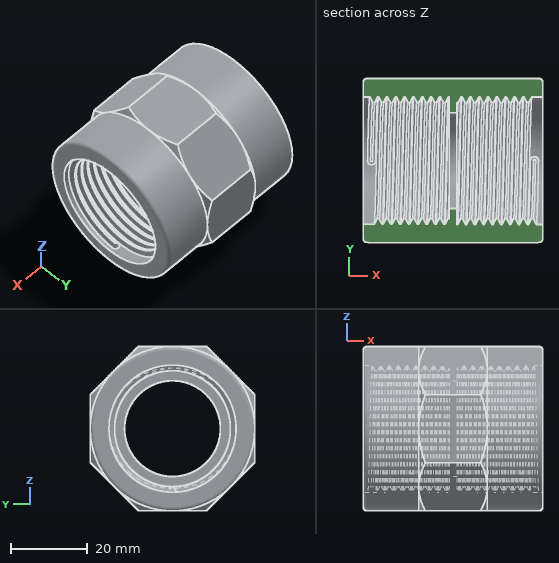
import cadquery as cq
import math


length = 47.0
body_diameter = 43.0
end_fillet = 1.0

collar_sides = 8
collar_width = 18.0
collar_flats = body_diameter
collar_corner_diameter = collar_flats / math.cos(math.pi / collar_sides)
corner_chamfer = (collar_corner_diameter - collar_flats) / 2

hole_diameter = 25.0
middle_wall = 2.0
socket_depth = (length - middle_wall) / 2

major_diameter = 33.25
minor_diameter = 30.3
pitch = 2.309
flank_angle = 27.5
thread_start = 2.2
turn_gap = 0.1
ridge_embed = 0.1

major_radius = major_diameter / 2
minor_radius = minor_diameter / 2
thread_start_x = -length / 2 + thread_start
thread_length = math.ceil(socket_depth / pitch) * pitch
ridge_base_radius = major_radius + ridge_embed
base_half_width = (pitch - turn_gap) / 2
crest_half_width = base_half_width - (ridge_base_radius - minor_radius) * math.tan(math.radians(flank_angle))


def cylinder_along_x(start, depth, diameter):
    """Solid cylinder on the X axis, from `start` to `start + depth`."""
    return cq.Workplane("YZ", origin=(start, 0, 0)).circle(diameter / 2).extrude(depth)


def make_sleeve():
    """Round outer body with filleted ends."""
    return cylinder_along_x(-length / 2, length, body_diameter).edges().fillet(end_fillet)


def make_collar():
    """Octagonal collar whose corners are turned down to the body diameter at 45 degrees."""
    start = -collar_width / 2
    octagon = (
        cq.Workplane("YZ", origin=(start, 0, 0))
        .transformed(rotate=(0, 0, 180 / collar_sides))
        .polygon(collar_sides, collar_corner_diameter)
        .extrude(collar_width)
    )
    turned_blank = (
        cylinder_along_x(start, collar_width, collar_corner_diameter).edges().chamfer(corner_chamfer)
    )
    return octagon.intersect(turned_blank)


def make_ridge_end():
    """Tapered round start of the ridge: half its section turned 180 degrees about its own radial axis."""
    return (
        cq.Workplane("XZ", origin=(thread_start_x, 0, 0))
        .moveTo(0, -minor_radius)
        .lineTo(-crest_half_width, -minor_radius)
        .lineTo(-base_half_width, -ridge_base_radius)
        .lineTo(0, -ridge_base_radius)
        .close()
        .revolve(180, (0, 0, 0), (0, 1, 0))
    )


def make_thread_ridge():
    """Right-hand ridge of the -X socket, starting at the bottom of the socket."""
    helix = (
        cq.Wire.makeHelix(pitch, thread_length, major_radius)
        .rotate(cq.Vector(0, 0, 0), cq.Vector(0, 1, 0), 90)
        .translate(cq.Vector(thread_start_x, 0, 0))
    )
    return (
        cq.Workplane("XZ", origin=(thread_start_x, 0, 0))
        .moveTo(-base_half_width, -ridge_base_radius)
        .lineTo(-crest_half_width, -minor_radius)
        .lineTo(crest_half_width, -minor_radius)
        .lineTo(base_half_width, -ridge_base_radius)
        .close()
        .sweep(cq.Workplane(obj=helix), isFrenet=True)
    )


def make_socket():
    """Space inside the -X socket: a plain bore less the thread ridge and its tapered end.

    The threaded bore is made longer than the ridge and then cut off at the socket depth.
    """
    bore_length = thread_start + thread_length + pitch
    threaded_bore = cylinder_along_x(-length / 2, bore_length, major_diameter)
    threaded_bore = threaded_bore.cut(make_thread_ridge())
    threaded_bore = threaded_bore.cut(make_ridge_end())
    socket_space = cylinder_along_x(-length / 2, socket_depth, body_diameter)
    return threaded_bore.intersect(socket_space)


hole = cylinder_along_x(-length / 2, length, hole_diameter)
near_socket = make_socket()

far_socket = near_socket.rotate((0, 0, 0), (0, 0, 1), 180)
result = make_sleeve().union(make_collar()).cut(hole).cut(near_socket).cut(far_socket)